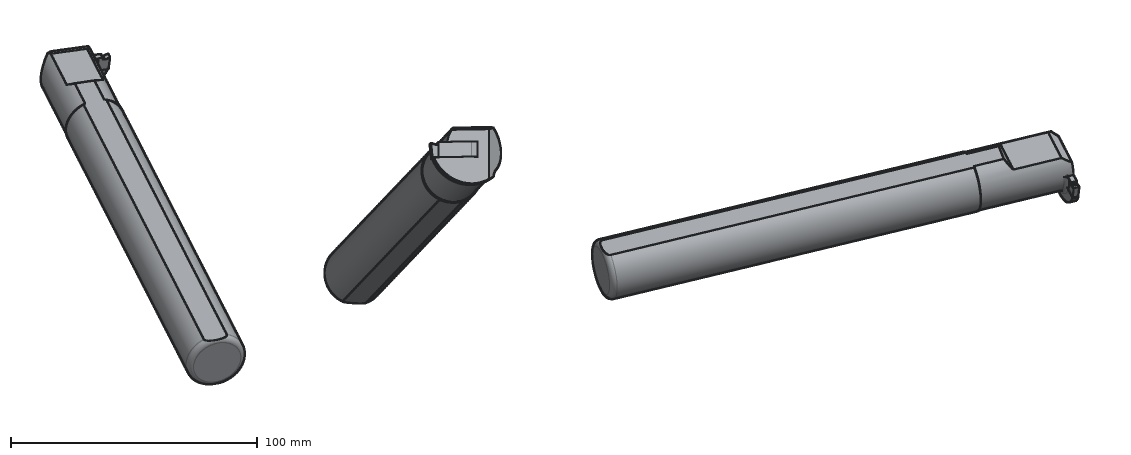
import cadquery as cq
import math


total_length = 200.0
shank_radius = 12.5
shank_flat_height = 11.5
shank_end_fillet = 2.4

head_radius = 12.2
head_length = 40.4
head_step = shank_radius - head_radius
tilt = 5.0
relief_height = 9.4
relief_front_length = 4.0
relief_front_drop = 2.0
relief_end = 24.8
face_bevel_y = -5.4

blade_radius = 16.0
blade_center_y = 3.0
blade_bottom = -15.5
blade_center_z = blade_bottom + blade_radius
blade_thickness = 2.5
blade_root_radius = 1.5

insert_top = 2.4
insert_bottom = -4.0
insert_inner_y = -0.5
insert_bevel_y = 2.0
insert_bevel_depth = 0.5
tip_y = 18.9
tip_z = 0.4
tip_foot_y = 18.2
rake_y = 15.8
rake_z = 0.2
groove_y = 16.5
groove_z = -0.2
tip_relief_angle = 3.0

cut_size = 80.0


def tilted_z(height, y):
    """Height at y of a line crossing Y = 0 at height and falling towards +Y."""
    return height - y * math.tan(math.radians(tilt))


def make_shank():
    shank = (cq.Workplane("YZ").workplane(offset=head_length).circle(shank_radius)
             .extrude(total_length - head_length))
    return shank.faces(">X").edges().fillet(shank_end_fillet)


def make_head():
    profile = [(0, 0), (0, head_radius), (head_length - head_step, head_radius),
               (head_length, shank_radius), (head_length, 0)]
    return cq.Workplane("XY").polyline(profile).close().revolve(360, (0, 0, 0), (1, 0, 0))


def make_flats_envelope():
    """Keeps both shank flats, but leaves the underside of the head round."""
    top = shank_flat_height
    outline = [(0, top), (total_length, top), (total_length, -top), (head_length, -top),
               (head_length, -cut_size), (0, -cut_size)]
    return cq.Workplane("XZ").polyline(outline).close().extrude(cut_size / 2, both=True)


def make_top_relief():
    """Material removed over the head, rolled about the bar axis."""
    ramp_run = cut_size - relief_height
    outline = [(0, relief_height - relief_front_drop), (relief_front_length, relief_height),
               (relief_end, relief_height), (relief_end + ramp_run, cut_size), (0, cut_size)]
    relief = cq.Workplane("XZ").polyline(outline).close().extrude(cut_size / 2, both=True)
    return relief.rotate((0, 0, 0), (1, 0, 0), -tilt)


def make_blade():
    """Eccentric disc with a concave root, kept only below the top line of the insert."""
    root_end = blade_thickness + blade_root_radius
    root_outer = head_radius + blade_root_radius
    mid = blade_root_radius * (1 - math.sqrt(0.5))
    root = (cq.Workplane("XY").moveTo(0, 0).lineTo(0, root_outer)
            .lineTo(blade_thickness, root_outer)
            .threePointArc((blade_thickness + mid, head_radius + mid), (root_end, head_radius))
            .lineTo(root_end, 0).close().revolve(360, (0, 0, 0), (1, 0, 0)))
    disc = (cq.Workplane("YZ").center(blade_center_y, blade_center_z).circle(blade_radius)
            .extrude(blade_thickness))
    root_limit = (cq.Workplane("YZ").center(blade_center_y, blade_center_z)
                  .circle(blade_radius).extrude(root_end))
    below_insert_top = [(-cut_size, tilted_z(insert_top, -cut_size)),
                        (cut_size, tilted_z(insert_top, cut_size)),
                        (cut_size, -cut_size), (-cut_size, -cut_size)]
    keep = cq.Workplane("YZ").polyline(below_insert_top).close().extrude(root_end)
    return disc.union(root.intersect(root_limit)).intersect(keep)


def make_face_bevel():
    outline = [(0, face_bevel_y), (cut_size, face_bevel_y - cut_size), (0, face_bevel_y - cut_size)]
    return cq.Workplane("XY").polyline(outline).close().extrude(cut_size / 2, both=True)


def make_insert_slot():
    outline = [(insert_inner_y, tilted_z(insert_top, insert_inner_y)),
               (cut_size, tilted_z(insert_top, cut_size)),
               (cut_size, tilted_z(insert_bottom, cut_size)),
               (insert_inner_y, tilted_z(insert_bottom, insert_inner_y))]
    return cq.Workplane("YZ").polyline(outline).close().extrude(blade_thickness)


def make_holder():
    body = make_shank().union(make_head()).intersect(make_flats_envelope())
    body = body.cut(make_top_relief())
    body = body.union(make_blade())
    return body.cut(make_face_bevel()).cut(make_insert_slot())


def make_insert():
    outline = [(insert_inner_y, tilted_z(insert_top, insert_inner_y)),
               (rake_y, tilted_z(insert_top, rake_y)), (rake_y, rake_z),
               (groove_y, groove_z), (tip_y, tip_z),
               (tip_foot_y, tilted_z(insert_bottom, tip_foot_y)),
               (insert_inner_y, tilted_z(insert_bottom, insert_inner_y))]
    insert = cq.Workplane("YZ").polyline(outline).close().extrude(blade_thickness)
    end_bevel = (cq.Workplane("XY")
                 .polyline([(0, insert_bevel_y), (insert_bevel_depth, insert_inner_y),
                            (0, insert_inner_y)])
                 .close().extrude(cut_size / 2, both=True))
    relief_drop = tip_z - tilted_z(insert_bottom, tip_y)
    relief_depth = relief_drop * math.tan(math.radians(tip_relief_angle))
    tip_relief = (cq.Workplane("XZ", origin=(0, tip_y, 0))
                  .polyline([(0, tip_z), (relief_depth, tip_z - relief_drop),
                             (0, tip_z - relief_drop)])
                  .close().extrude(tip_y - rake_y))
    return insert.cut(end_bevel).cut(tip_relief)


holder = make_holder()
insert = make_insert()
result = cq.Compound.makeCompound([holder.solids().val(), insert.solids().val()])